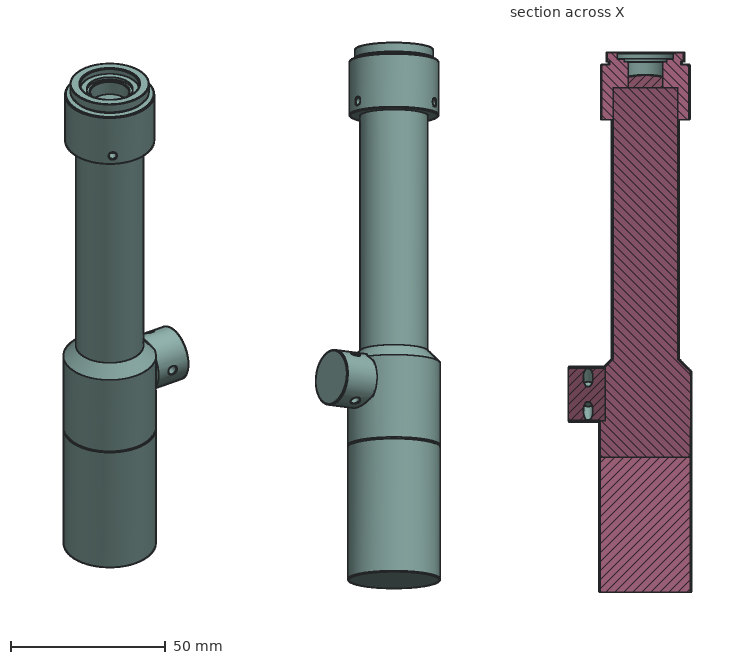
import cadquery as cq
import math


X_AXIS = cq.Vector(1, 0, 0)
Y_AXIS = cq.Vector(0, 1, 0)
Z_AXIS = cq.Vector(0, 0, 1)

TOTAL_LENGTH = 174.5
BARREL_DIAMETER = 30.0
BARREL_HEIGHT = 43.8
BARREL_CHAMFER = 0.3
SEAM_CHAMFER = 0.5
SHOULDER_Z = 71.4
TUBE_DIAMETER = 22.0
TUBE_START_Z = SHOULDER_Z + (BARREL_DIAMETER - TUBE_DIAMETER) / 2

COLLAR_DIAMETER = 29.0
COLLAR_BOTTOM_Z = 152.7
COLLAR_TOP_Z = 170.7
COLLAR_CHAMFER = 0.3
SOCKET_DEPTH = 10.5
TUBE_END_Z = COLLAR_BOTTOM_Z + SOCKET_DEPTH
RELIEF_DIAMETER = 23.9
FLANGE_DIAMETER = 25.5
FLANGE_BOTTOM_Z = 171.5
FLANGE_CHAMFER = 0.2

MOUTH_DIAMETER = 19.0
MOUTH_DEPTH = 2.1
MOUTH_CHAMFER = 0.3
STEP_DIAMETER = 15.0
STEP_DEPTH = 3.0
BORE_DIAMETER = 12.5
BORE_CHAMFER = 0.26

LENS_EDGE_DEPTH = 7.9
LENS_CROWN = 0.7

PORT_DIAMETER = 18.0
PORT_CENTRE_Z = 64.0
PORT_SEAT_Y = 13.1
PORT_END_Y = 25.0
PORT_CHAMFER = 0.3

HOLES_PER_RING = 3
HOLE_COUNTERSINK = 0.26
COLLAR_HOLE_DIAMETER = 2.5
COLLAR_HOLE_Z = 156.0
COLLAR_HOLE_START = 90
PORT_HOLE_DIAMETER = 3.0
PORT_HOLE_DEPTH = 5.2
PORT_HOLE_Y = 18.5
PORT_HOLE_START = 0


def cylinder(diameter, bottom, top):
    """Cylinder on the Z axis between two heights."""
    return cq.Workplane("XY", origin=(0, 0, bottom)).circle(diameter / 2).extrude(top - bottom)


def cone(bottom_diameter, top_diameter, bottom, top):
    """Truncated cone on the Z axis between two heights."""
    height = top - bottom
    solid = cq.Solid.makeCone(bottom_diameter / 2, top_diameter / 2, height, cq.Vector(0, 0, bottom))
    return cq.Workplane(solid)


def ring_of_holes(target, diameter, depth, centre, plane_axis, ring_radius, start):
    """Cut evenly spaced countersunk radial holes around centre, in the plane of +X and plane_axis."""
    radius = diameter / 2
    for i in range(HOLES_PER_RING):
        angle = math.radians(start + 360 * i / HOLES_PER_RING)
        outward = X_AXIS * math.cos(angle) + plane_axis * math.sin(angle)
        mouth = centre + outward * ring_radius
        drill = cq.Solid.makeCylinder(radius, depth, mouth, outward * -1)
        flare_start = mouth + outward * HOLE_COUNTERSINK
        flare_length = 2 * HOLE_COUNTERSINK
        flare = cq.Solid.makeCone(radius + flare_length, radius, flare_length, flare_start, outward * -1)
        target = target.cut(cq.Workplane(drill.fuse(flare)))
    return target


def make_barrel():
    return cylinder(BARREL_DIAMETER, 0, BARREL_HEIGHT).faces("<Z").chamfer(BARREL_CHAMFER)


def make_port_blank():
    plane = cq.Plane(origin=(0, PORT_SEAT_Y, PORT_CENTRE_Z), xDir=(1, 0, 0), normal=(0, 1, 0))
    return cq.Workplane(plane).circle(PORT_DIAMETER / 2).extrude(PORT_END_Y - PORT_SEAT_Y)


def make_body():
    lower = cylinder(BARREL_DIAMETER, BARREL_HEIGHT, SHOULDER_Z).faces("<Z").chamfer(SEAM_CHAMFER)
    shoulder = cone(BARREL_DIAMETER, TUBE_DIAMETER, SHOULDER_Z, TUBE_START_Z)
    tube = cylinder(TUBE_DIAMETER, TUBE_START_Z, TUBE_END_Z)
    return lower.union(shoulder).union(tube).cut(make_port_blank())


def make_port():
    port = make_port_blank().faces(">Y").chamfer(PORT_CHAMFER)
    centre = cq.Vector(0, PORT_HOLE_Y, PORT_CENTRE_Z)
    return ring_of_holes(port, PORT_HOLE_DIAMETER, PORT_HOLE_DEPTH, centre, Z_AXIS,
                         PORT_DIAMETER / 2, PORT_HOLE_START)


def make_mount_blank():
    collar = cylinder(COLLAR_DIAMETER, COLLAR_BOTTOM_Z, COLLAR_TOP_Z).edges().chamfer(COLLAR_CHAMFER)
    relief = cylinder(RELIEF_DIAMETER, COLLAR_TOP_Z, FLANGE_BOTTOM_Z)
    flange = cylinder(FLANGE_DIAMETER, FLANGE_BOTTOM_Z, TOTAL_LENGTH).faces(">Z").chamfer(FLANGE_CHAMFER)
    return collar.union(relief).union(flange)


def cut_chamfered_bore(target, diameter, bottom, top, chamfer):
    """Cut a round bore between two heights and flare its upper edge."""
    bore = cylinder(diameter, bottom, top)
    flare = cone(diameter, diameter + 2 * chamfer, top - chamfer, top)
    return target.cut(bore).cut(flare)


def make_mount():
    mouth_z = TOTAL_LENGTH - MOUTH_DEPTH
    step_z = TOTAL_LENGTH - STEP_DEPTH
    mount = make_mount_blank().cut(cylinder(TUBE_DIAMETER, COLLAR_BOTTOM_Z, TUBE_END_Z))
    mount = cut_chamfered_bore(mount, MOUTH_DIAMETER, mouth_z, TOTAL_LENGTH, MOUTH_CHAMFER)
    mount = mount.cut(cylinder(STEP_DIAMETER, step_z, mouth_z))
    mount = cut_chamfered_bore(mount, BORE_DIAMETER, TUBE_END_Z, step_z, BORE_CHAMFER)
    collar_radius = COLLAR_DIAMETER / 2
    return ring_of_holes(mount, COLLAR_HOLE_DIAMETER, collar_radius, cq.Vector(0, 0, COLLAR_HOLE_Z),
                         Y_AXIS, collar_radius, COLLAR_HOLE_START)


def make_lens():
    apex_z = TOTAL_LENGTH - LENS_EDGE_DEPTH + LENS_CROWN
    edge_radius = BORE_DIAMETER / 2
    curve_radius = (edge_radius**2 + LENS_CROWN**2) / (2 * LENS_CROWN)
    ball = cq.Workplane("XY", origin=(0, 0, apex_z - curve_radius)).sphere(curve_radius)
    return cylinder(BORE_DIAMETER, TUBE_END_Z, apex_z).intersect(ball)


barrel = make_barrel()
body = make_body()
port = make_port()
mount = make_mount()
lens = make_lens()

result = cq.Compound.makeCompound([barrel.val(), body.val(), port.val(), mount.val(), lens.val()])